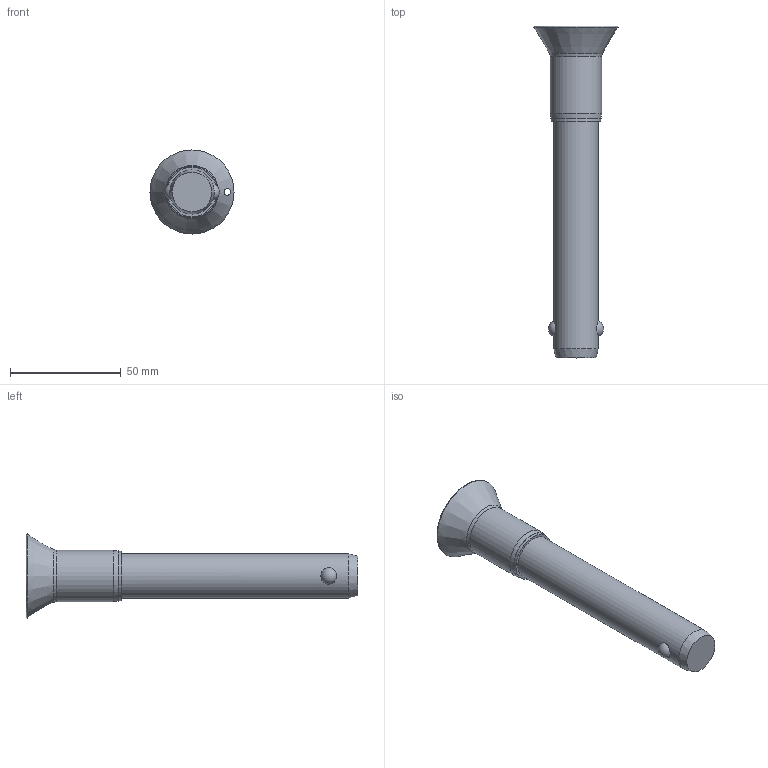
import cadquery as cq
import math

TOTAL_LENGTH = 150.1
HANDLE_LENGTH = 43.0

HEAD_RADIUS = 19.0
RIM_FILLET_RADIUS = 0.6
FLARE_LENGTH = 11.7
COLLAR_RADIUS = 11.6
NECK_RADIUS = 3.3
NECK_ANGLE = math.radians(29)

COLLAR_LIP_RADIUS = 11.2
COLLAR_LIP_LENGTH = 1.4
COLLAR_TAPER_LENGTH = 2.2
COLLAR_TAPER_RADIUS = 11.35
COLLAR_TAPER_BULGE = 0.05

SHANK_RADIUS = 10.0
TIP_RADIUS = 9.0
TIP_LENGTH = 4.2
TIP_BULGE = 0.1

BALL_RADIUS = 3.75
BALL_PROJECTION = 12.5
BALL_TO_TIP = 13.2

LANYARD_HOLE_DIAMETER = 3.0
LANYARD_HOLE_OFFSET = 16.0

SHANK_LENGTH = TOTAL_LENGTH - HANDLE_LENGTH


def bulged_midpoint(start, end, bulge):
    """Middle of start-end, moved by bulge square to that line, toward its right-hand side."""
    dx = end[0] - start[0]
    dy = end[1] - start[1]
    length = math.hypot(dx, dy)
    x = (start[0] + end[0]) / 2 + bulge * dy / length
    y = (start[1] + end[1]) / 2 - bulge * dx / length
    return (x, y)


def make_pin_body():
    """Half profile (radius, Y) revolved about the Y axis, drawn from the tip to the head."""
    tip_y = -SHANK_LENGTH
    taper_top_y = tip_y + TIP_LENGTH
    rim_y = HANDLE_LENGTH - RIM_FILLET_RADIUS
    neck_top_y = rim_y - FLARE_LENGTH
    neck_bottom_y = neck_top_y - NECK_RADIUS * math.sin(NECK_ANGLE)
    neck_rise = NECK_RADIUS * (1 - math.cos(NECK_ANGLE))

    tip_edge = (TIP_RADIUS, tip_y)
    taper_top = (SHANK_RADIUS, taper_top_y)
    taper_end = (COLLAR_TAPER_RADIUS, COLLAR_LIP_LENGTH)
    collar_start = (COLLAR_RADIUS, COLLAR_LIP_LENGTH + COLLAR_TAPER_LENGTH)
    neck_top = (COLLAR_RADIUS + neck_rise, neck_top_y)
    rim_edge = (HEAD_RADIUS, rim_y)

    profile = (
        cq.Workplane("XY")
        .moveTo(0, tip_y)
        .lineTo(*tip_edge)
        .threePointArc(bulged_midpoint(tip_edge, taper_top, TIP_BULGE), taper_top)
        .lineTo(SHANK_RADIUS, 0)
        .lineTo(COLLAR_LIP_RADIUS, 0)
        .lineTo(COLLAR_LIP_RADIUS, COLLAR_LIP_LENGTH)
        .lineTo(*taper_end)
        .threePointArc(bulged_midpoint(taper_end, collar_start, COLLAR_TAPER_BULGE), collar_start)
        .lineTo(COLLAR_RADIUS, neck_bottom_y)
        .tangentArcPoint(neck_top, relative=False)
        .tangentArcPoint(rim_edge, relative=False)
        .radiusArc((HEAD_RADIUS - RIM_FILLET_RADIUS, HANDLE_LENGTH), -RIM_FILLET_RADIUS)
        .lineTo(0, HANDLE_LENGTH)
        .close()
    )
    return profile.revolve(360, (0, 0, 0), (0, 1, 0))


def add_locking_balls(body):
    """Two balls standing out of opposite sides of the shank along X."""
    ball_y = BALL_TO_TIP - SHANK_LENGTH
    ball_x = BALL_PROJECTION - BALL_RADIUS
    for side in (-1, 1):
        ball = cq.Workplane("XY").sphere(BALL_RADIUS).translate((side * ball_x, ball_y, 0))
        body = body.union(ball)
    return body


def cut_lanyard_hole(body):
    """Hole parallel to the axis, through the flared head on its +X side."""
    hole = (
        cq.Workplane("XZ", origin=(LANYARD_HOLE_OFFSET, HANDLE_LENGTH, 0))
        .circle(LANYARD_HOLE_DIAMETER / 2)
        .extrude(HANDLE_LENGTH)
    )
    return body.cut(hole)


result = cut_lanyard_hole(add_locking_balls(make_pin_body()))